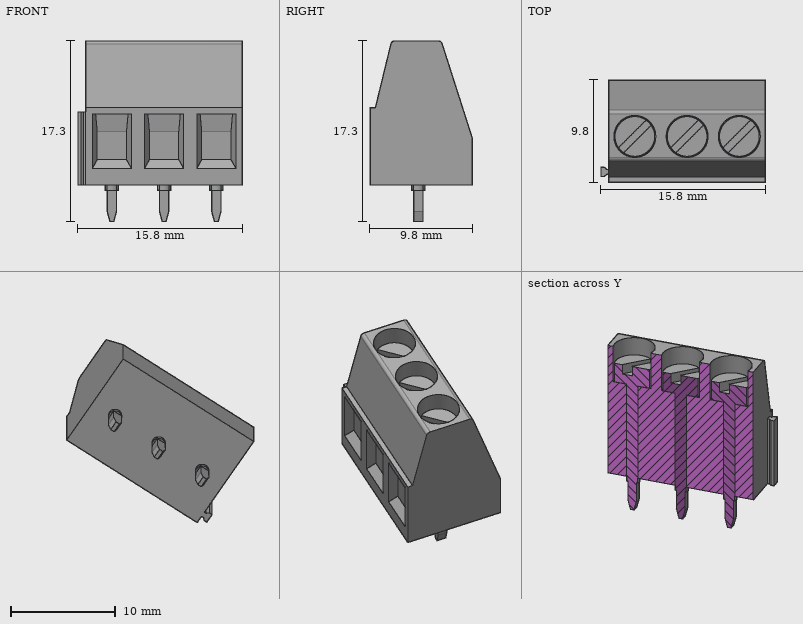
import cadquery as cq


POLES = 3
PITCH = 5.0
WIDTH = POLES * PITCH
DEPTH = 9.8
HEIGHT = 13.8
LEDGE_DEPTH = 0.5
LEDGE_HEIGHT = 7.4
TOP_FRONT_Y = 2.06
TOP_BACK_Y = 6.82
BACK_WALL_HEIGHT = 4.5
TOP_ROUNDING = 0.4

ENTRY_WIDTH = 3.74
ENTRY_BOTTOM = 1.6
ENTRY_TOP = 6.78
ENTRY_DEPTH = 0.76
ENTRY_SIDE_INSET = 0.47
ENTRY_LIP = 0.52
ENTRY_BACK_BOTTOM = 2.44
ENTRY_BACK_TOP = 5.14

RIB_Y = 1.0
RIB_HEIGHT = 7.0
RIB_REACH = 0.75
RIB_HEAD = 0.31
RIB_NECK = 0.19
RIB_HEAD_WIDTH = 0.92
RIB_NECK_WIDTH = 0.5

SCREW_Y = 4.4
SCREW_RADIUS = 1.9
BORE_RADIUS = 2.0
SCREW_SUNK = 1.8
SCREW_THICKNESS = 2.0
SLOT_WIDTH = 0.7
SLOT_DEPTH = 1.0
SLOT_ANGLE = 45
SCREW_TOP = HEIGHT - SCREW_SUNK
BORE_FLOOR = SCREW_TOP - SCREW_THICKNESS

PIN_Y = 4.62
PIN_SIDE = 0.92
STEM_RADIUS = 0.64
COLLAR_HEIGHT = 0.5
PIN_BOTTOM = -3.5
TIP_LENGTH = 0.99
TIP_WIDTH = 0.38

POLE_XS = [(i - (POLES - 1) / 2) * PITCH for i in range(POLES)]


def cylinder(x, y, radius, bottom, top):
    return cq.Workplane("XY", origin=(x, y, bottom)).circle(radius).extrude(top - bottom)


def make_shell():
    outline = [
        (0, 0),
        (0, LEDGE_HEIGHT),
        (LEDGE_DEPTH, LEDGE_HEIGHT),
        (TOP_FRONT_Y, HEIGHT),
        (TOP_BACK_Y, HEIGHT),
        (DEPTH, BACK_WALL_HEIGHT),
        (DEPTH, 0),
    ]
    shell = cq.Workplane("YZ", origin=(-WIDTH / 2, 0, 0)).polyline(outline).close().extrude(WIDTH)
    return shell.faces(">Z").edges("|X").fillet(TOP_ROUNDING)


def make_rib():
    wall_x = -WIDTH / 2
    outer_x = wall_x - RIB_REACH
    half_head = RIB_HEAD_WIDTH / 2
    half_neck = RIB_NECK_WIDTH / 2
    outline = [
        (wall_x, half_neck),
        (wall_x - RIB_NECK, half_neck),
        (outer_x + RIB_HEAD, half_head),
        (outer_x, half_head),
        (outer_x, -half_head),
        (outer_x + RIB_HEAD, -half_head),
        (wall_x - RIB_NECK, -half_neck),
        (wall_x, -half_neck),
    ]
    return cq.Workplane("XY", origin=(0, RIB_Y, 0)).polyline(outline).close().extrude(RIB_HEIGHT)


def make_entry(x):
    """Wire entry: the plan narrows toward the back, the side profile gives its floor and ceiling."""
    half_front = ENTRY_WIDTH / 2
    half_back = half_front - ENTRY_SIDE_INSET
    plan = [(-half_front, 0), (half_front, 0), (half_back, ENTRY_DEPTH), (-half_back, ENTRY_DEPTH)]
    profile = [
        (0, ENTRY_BOTTOM),
        (ENTRY_DEPTH, ENTRY_BACK_BOTTOM),
        (ENTRY_DEPTH, ENTRY_BACK_TOP),
        (ENTRY_LIP, ENTRY_TOP),
        (0, ENTRY_TOP),
    ]
    tapered = cq.Workplane("XY", origin=(x, 0, 0)).polyline(plan).close().extrude(HEIGHT)
    sloped = cq.Workplane("YZ", origin=(x - half_front, 0, 0)).polyline(profile).close().extrude(ENTRY_WIDTH)
    return tapered.intersect(sloped)


def make_housing():
    housing = make_shell().union(make_rib())
    for x in POLE_XS:
        housing = housing.cut(make_entry(x))
        housing = housing.cut(cylinder(x, SCREW_Y, BORE_RADIUS, BORE_FLOOR, HEIGHT))
        housing = housing.cut(cylinder(x, PIN_Y, STEM_RADIUS, 0, BORE_FLOOR))
    return housing


def make_screw_head(x):
    head = cylinder(x, SCREW_Y, SCREW_RADIUS, BORE_FLOOR, SCREW_TOP)
    slot = (
        cq.Workplane("XY", origin=(x, SCREW_Y, SCREW_TOP))
        .transformed(rotate=(0, 0, SLOT_ANGLE))
        .rect(2 * BORE_RADIUS, SLOT_WIDTH)
        .extrude(-SLOT_DEPTH)
    )
    return head.cut(slot)


def make_pin(x):
    """Square pin, starting at the housing underside, whose left and right sides taper to a blunt tip."""
    half_side = PIN_SIDE / 2
    half_tip = TIP_WIDTH / 2
    tip_start = PIN_BOTTOM + TIP_LENGTH
    outline = [
        (-half_side, 0),
        (-half_side, tip_start),
        (-half_tip, PIN_BOTTOM),
        (half_tip, PIN_BOTTOM),
        (half_side, tip_start),
        (half_side, 0),
    ]
    return cq.Workplane("XZ", origin=(x, PIN_Y + half_side, 0)).polyline(outline).close().extrude(PIN_SIDE)


def make_contact(x):
    """Slotted screw head, round stem through the housing, and solder pin in one piece."""
    stem = cylinder(x, PIN_Y, STEM_RADIUS, -COLLAR_HEIGHT, BORE_FLOOR)
    return make_screw_head(x).union(stem).union(make_pin(x))


housing = make_housing()
contacts = [make_contact(x) for x in POLE_XS]

result = cq.Compound.makeCompound([housing.val(), *[contact.val() for contact in contacts]])